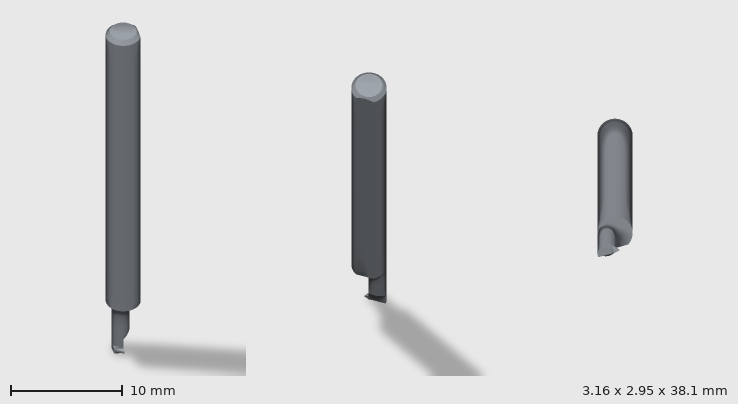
import cadquery as cq

total_length = 38.1
shank_radius = 1.58
shank_depth = 2.95
shank_bottom = 6.35
end_chamfer = 0.4

neck_radius = 0.8
neck_bottom = 0.1
neck_center_x = neck_radius - shank_radius
relief_start = 1.68

tooth_reach = 0.42
tooth_edge_low = 0.4
tooth_edge_high = 0.57
tooth_root_x = 0.08
tooth_root_z = 0.7
tooth_shoulder_z = 1.0
tooth_heel_x = -0.1
heel_face_x = -0.15
heel_face_top = 0.75


def make_shank():
    """Round bar with a chamfered top and one long flat on the +Y side."""
    bar = (
        cq.Workplane("XY", origin=(0, 0, shank_bottom))
        .circle(shank_radius)
        .extrude(total_length - shank_bottom)
        .faces(">Z")
        .chamfer(end_chamfer)
    )
    flat_y = shank_depth - shank_radius
    flat_cutter = cq.Workplane("XY").box(
        2 * shank_radius, shank_radius, total_length, centered=(True, False, False)
    ).translate((0, flat_y, 0))
    return bar.cut(flat_cutter)


def make_neck():
    """Thin round neck, ground to a half-round below a 45 degree run-out."""
    neck = (
        cq.Workplane("XY", origin=(neck_center_x, 0, neck_bottom))
        .circle(neck_radius)
        .extrude(shank_bottom - neck_bottom)
    )
    cut_depth = 2 * neck_radius
    relief = (
        cq.Workplane("YZ")
        .polyline([
            (0, 0),
            (0, relief_start),
            (cut_depth, relief_start + cut_depth),
            (cut_depth, 0),
        ])
        .close()
        .extrude(shank_radius, both=True)
    )
    return neck.cut(relief)


def make_tooth():
    """Tooth with its rake face at Y = 0, tapering back to a flat heel tangent to the neck."""
    rake_face = [
        (neck_center_x, neck_bottom),
        (heel_face_x, neck_bottom),
        (tooth_heel_x, 0),
        (tooth_reach, tooth_edge_low),
        (tooth_reach, tooth_edge_high),
        (tooth_root_x, tooth_root_z),
        (0, tooth_shoulder_z),
        (neck_center_x, heel_face_top),
    ]
    heel_face = [
        (neck_center_x, neck_bottom),
        ((neck_center_x + heel_face_x) / 2, neck_bottom),
        (heel_face_x, neck_bottom),
        (heel_face_x, tooth_edge_low),
        (heel_face_x, tooth_edge_high),
        (heel_face_x, tooth_root_z),
        (heel_face_x, heel_face_top),
        (neck_center_x, heel_face_top),
    ]
    return (
        cq.Workplane("XZ")
        .polyline(rake_face)
        .close()
        .workplane(offset=neck_radius)
        .polyline(heel_face)
        .close()
        .loft(ruled=True)
    )


result = make_shank().union(make_neck()).union(make_tooth())